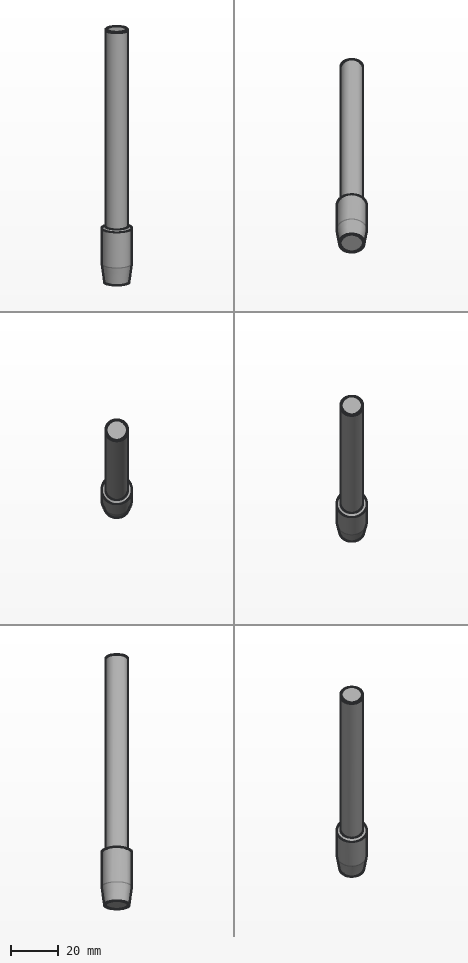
import cadquery as cq

TOTAL_HEIGHT = 110.0

ROD_DIAMETER = 9.5
ROD_CHAMFER = 0.4

SLEEVE_DIAMETER = 12.6
SLEEVE_HEIGHT = 24.2
BEVEL_HEIGHT = 0.8
TIP_DIAMETER = 10.6
TAPER_HEIGHT = 7.9


def make_rod():
    """Straight round rod running the full height, chamfered at its top end."""
    rod = cq.Workplane("XY").circle(ROD_DIAMETER / 2).extrude(TOTAL_HEIGHT)
    return rod.faces(">Z").chamfer(ROD_CHAMFER)


def make_sleeve():
    """Revolved sleeve: tapered tip, cylindrical middle, and a shallow cone up to the bore."""
    bore_radius = ROD_DIAMETER / 2
    outer_radius = SLEEVE_DIAMETER / 2
    profile = [
        (bore_radius, 0),
        (TIP_DIAMETER / 2, 0),
        (outer_radius, TAPER_HEIGHT),
        (outer_radius, SLEEVE_HEIGHT - BEVEL_HEIGHT),
        (bore_radius, SLEEVE_HEIGHT),
    ]
    return cq.Workplane("XZ").polyline(profile).close().revolve(360, (0, 0), (0, 1))


rod = make_rod()
sleeve = make_sleeve()

result = cq.Compound.makeCompound([rod.val(), sleeve.val()])